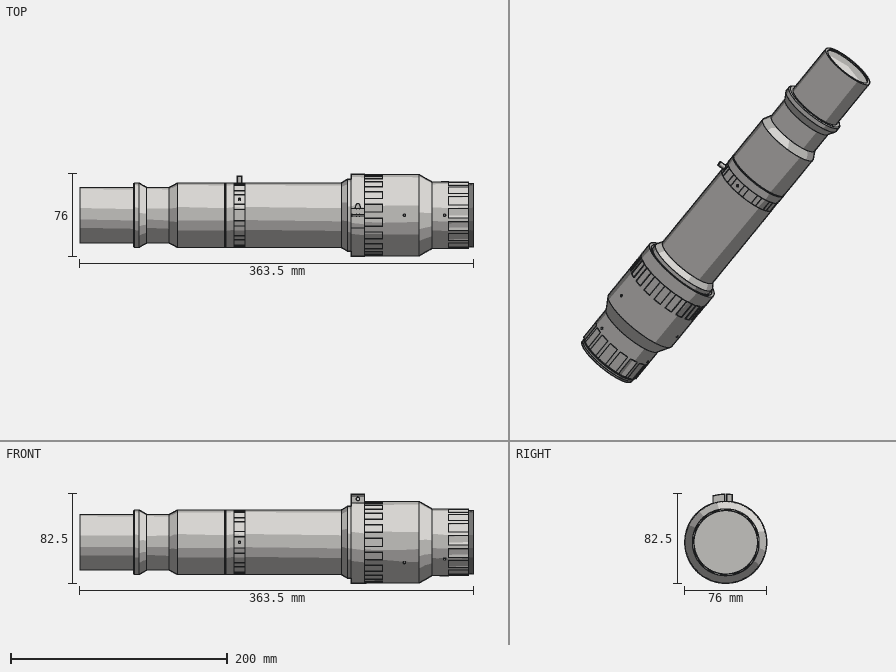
import cadquery as cq
import math

CUTTER_OVERSHOOT = 3.5

LENGTH = 363.5
FRONT_RADIUS = 25.8
TUBE_RADIUS = 29.8
COLLAR_RADIUS = 33.5
HOUSING_RADIUS = 37.8
RING_STEP = 0.18
RING_RADIUS = HOUSING_RADIUS + RING_STEP
NECK_RADIUS = 31.0
END_RADIUS = 29.5

FLANGE_START = 49.5
FLANGE_FLAT_END = 55.0
FLANGE_END = 61.8
FLANGE_ROUND = 1.0
TUBE_CONE_START = 82.5
TUBE_CONE_END = 90.0
COLLAR_CONE_START = 241.5
COLLAR_CONE_END = 247.0
RING_START = 250.5
RING_BORE_RADIUS = 35.3
RING_BORE_RECESS = 0.7
RING_END = 262.8
HOUSING_CONE_START = 313.0
HOUSING_CONE_END = 325.0
GRIP_START = 340.2
GRIP_END = 358.7

RIM_GROOVE_START = 359.8
RIM_GROOVE_END = 361.5
RIM_GROOVE_DEPTH = 0.18

LENS_RADIUS = 23.3
LENS_RECESS = 1.0

TUBE_GROOVE_START = 133.7
TUBE_GROOVE_WIDTH = 1.0
TUBE_GROOVE_DEPTH = 0.5

BAND_START = 142.5
BAND_END = 152.3
BAND_MIDDLE = (BAND_START + BAND_END) / 2
BAND_SLOT_COUNT = 12
BAND_SLOT_ANGLE = 10.0
BAND_DEPTH = 0.18
BAND_SLOT_DEPTH = 0.55
PIN_RADIUS = 2.0
PIN_ROOT = 25.5
PIN_TIP = 36.0

HOUSING_SLOT_COUNT = 18
HOUSING_SLOT_ANGLE = 11.4
HOUSING_SLOT_DEPTH = 0.7
HOUSING_SLOT_END = 279.0

FLUTE_COUNT = 16
FLUTE_PITCH = 360 / FLUTE_COUNT
FLUTE_ANGLE = 16.2
FLUTE_DEPTH = 1.0
FLUTE_FIRST_ANGLE = 90 + FLUTE_PITCH / 3

SCREW_RADIUS = 1.0
SCREW_DEPTH = 3.0
SCREW_COUNT = 3
SCREW_PITCH = 360 / SCREW_COUNT
HOUSING_SCREW_X = 299.5
NECK_SCREW_X = 336.5

LUG_RADIUS = 44.52
LUG_LEFT = 6.0
LUG_RIGHT = -12.0
LUG_SLIT_WIDTH = 1.5
CLAMP_HOLE_X = (RING_START + RING_END) / 2
CLAMP_HOLE_Z = 40.0
CLAMP_HOLE_RADIUS = 1.5
CLAMP_RELIEF_RADIUS = 3.5
CLAMP_RELIEF_LENGTH = 14.5


def polar(radius, angle):
    """Y, Z of a point at an angle measured from +Y towards +Z."""
    return radius * math.cos(math.radians(angle)), radius * math.sin(math.radians(angle))


def x_cylinder(radius, start, end):
    return cq.Workplane("YZ", origin=(start, 0, 0)).circle(radius).extrude(end - start)


def annular_slot(start, end, outer_radius, depth, angle, width_angle):
    """Sector-shaped cutter with a floor concentric with the barrel."""
    reach = outer_radius + CUTTER_OVERSHOOT
    wedge = (
        cq.Workplane("YZ", origin=(start, 0, 0))
        .moveTo(0, 0)
        .lineTo(*polar(reach, angle - width_angle / 2))
        .threePointArc(polar(reach, angle), polar(reach, angle + width_angle / 2))
        .close()
        .extrude(end - start)
    )
    return wedge.cut(x_cylinder(outer_radius - depth, start, end))


def radial_rod(x, angle, inner, outer, radius):
    """Rod along a radius of the barrel, from the inner to the outer distance."""
    rod = cq.Workplane("XZ", origin=(x, inner, 0)).circle(radius).extrude(inner - outer)
    return rod.rotate((0, 0, 0), (1, 0, 0), angle)


def make_barrel():
    return (
        cq.Workplane("XZ")
        .moveTo(LENS_RECESS, 0)
        .lineTo(LENS_RECESS, LENS_RADIUS)
        .lineTo(0, LENS_RADIUS)
        .lineTo(0, FRONT_RADIUS)
        .lineTo(FLANGE_START, FRONT_RADIUS)
        .lineTo(FLANGE_START, TUBE_RADIUS - FLANGE_ROUND)
        .lineTo(FLANGE_START + FLANGE_ROUND, TUBE_RADIUS)
        .lineTo(FLANGE_FLAT_END, TUBE_RADIUS)
        .lineTo(FLANGE_END, FRONT_RADIUS)
        .lineTo(TUBE_CONE_START, FRONT_RADIUS)
        .lineTo(TUBE_CONE_END, TUBE_RADIUS)
        .lineTo(TUBE_GROOVE_START, TUBE_RADIUS)
        .lineTo(TUBE_GROOVE_START + TUBE_GROOVE_WIDTH / 2, TUBE_RADIUS - TUBE_GROOVE_DEPTH)
        .lineTo(TUBE_GROOVE_START + TUBE_GROOVE_WIDTH, TUBE_RADIUS)
        .lineTo(BAND_START, TUBE_RADIUS)
        .lineTo(BAND_START, TUBE_RADIUS - BAND_DEPTH)
        .lineTo(BAND_END, TUBE_RADIUS - BAND_DEPTH)
        .lineTo(BAND_END, TUBE_RADIUS)
        .lineTo(COLLAR_CONE_START, TUBE_RADIUS)
        .lineTo(COLLAR_CONE_END, COLLAR_RADIUS)
        .lineTo(RING_START + RING_BORE_RECESS, COLLAR_RADIUS)
        .lineTo(RING_START + RING_BORE_RECESS, RING_BORE_RADIUS)
        .lineTo(RING_START, RING_BORE_RADIUS)
        .lineTo(RING_START, RING_RADIUS)
        .lineTo(RING_END, RING_RADIUS)
        .lineTo(RING_END, HOUSING_RADIUS)
        .lineTo(HOUSING_CONE_START, HOUSING_RADIUS)
        .lineTo(HOUSING_CONE_END, NECK_RADIUS)
        .lineTo(GRIP_END, NECK_RADIUS)
        .lineTo(GRIP_END, END_RADIUS)
        .lineTo(RIM_GROOVE_START, END_RADIUS)
        .lineTo(RIM_GROOVE_START, END_RADIUS - RIM_GROOVE_DEPTH)
        .lineTo(RIM_GROOVE_END, END_RADIUS - RIM_GROOVE_DEPTH)
        .lineTo(RIM_GROOVE_END, END_RADIUS)
        .lineTo(LENGTH, END_RADIUS)
        .lineTo(LENGTH, 0)
        .close()
        .revolve(360, (0, 0, 0), (1, 0, 0))
    )


def make_lens_dome():
    dome_radius = (LENS_RADIUS**2 + LENS_RECESS**2) / (2 * LENS_RECESS)
    return (
        cq.Workplane("XZ")
        .moveTo(LENS_RECESS, 0)
        .lineTo(0, 0)
        .radiusArc((LENS_RECESS, LENS_RADIUS), dome_radius)
        .close()
        .revolve(360, (0, 0, 0), (1, 0, 0))
    )


def make_lug():
    """Block on the clamp ring with a top face concentric with the barrel."""
    return (
        cq.Workplane("YZ", origin=(RING_START, 0, 0))
        .moveTo(LUG_LEFT, RING_BORE_RADIUS)
        .lineTo(LUG_LEFT, math.sqrt(LUG_RADIUS**2 - LUG_LEFT**2))
        .threePointArc((0, LUG_RADIUS), (LUG_RIGHT, math.sqrt(LUG_RADIUS**2 - LUG_RIGHT**2)))
        .lineTo(LUG_RIGHT, RING_BORE_RADIUS)
        .close()
        .extrude(RING_END - RING_START)
    )


def cut_clamp(body):
    """Lug slit, through hole for the clamp screw and head clearance in the ring."""
    slit = (
        cq.Workplane("XY", origin=((RING_START + RING_END) / 2, 0, RING_BORE_RADIUS))
        .rect(RING_END - RING_START, LUG_SLIT_WIDTH)
        .extrude(LUG_RADIUS - RING_BORE_RADIUS)
    )
    hole = (
        cq.Workplane("XZ", origin=(CLAMP_HOLE_X, LUG_LEFT, CLAMP_HOLE_Z))
        .circle(CLAMP_HOLE_RADIUS)
        .extrude(LUG_LEFT - LUG_RIGHT)
    )
    relief = (
        cq.Workplane("XZ", origin=(CLAMP_HOLE_X, LUG_LEFT, CLAMP_HOLE_Z))
        .circle(CLAMP_RELIEF_RADIUS)
        .extrude(-CLAMP_RELIEF_LENGTH)
    )
    return body.cut(slit).cut(hole).cut(relief)


def cut_slots(body):
    for i in range(BAND_SLOT_COUNT):
        angle = (i + 0.5) * 360 / BAND_SLOT_COUNT
        body = body.cut(
            annular_slot(BAND_START, BAND_END, TUBE_RADIUS, BAND_SLOT_DEPTH, angle, BAND_SLOT_ANGLE)
        )
    for i in range(HOUSING_SLOT_COUNT):
        angle = 180 + i * 360 / HOUSING_SLOT_COUNT
        body = body.cut(
            annular_slot(
                RING_END, HOUSING_SLOT_END, HOUSING_RADIUS, HOUSING_SLOT_DEPTH, angle, HOUSING_SLOT_ANGLE
            )
        )
    return body


def cut_flutes(body):
    half_width = NECK_RADIUS * math.sin(math.radians(FLUTE_ANGLE / 2))
    edge_distance = NECK_RADIUS * math.cos(math.radians(FLUTE_ANGLE / 2))
    sag = edge_distance - (NECK_RADIUS - FLUTE_DEPTH)
    flute_radius = (half_width**2 + sag**2) / (2 * sag)
    axis_distance = NECK_RADIUS - FLUTE_DEPTH + flute_radius
    for i in range(FLUTE_COUNT):
        angle = FLUTE_FIRST_ANGLE + (i + 0.5) * FLUTE_PITCH
        cutter = x_cylinder(flute_radius, GRIP_START, GRIP_END)
        body = body.cut(cutter.translate((0, *polar(axis_distance, angle))))
    return body


def cut_screw_holes(body):
    stations = (
        (BAND_MIDDLE, TUBE_RADIUS, 180),
        (HOUSING_SCREW_X, HOUSING_RADIUS, 90),
        (NECK_SCREW_X, NECK_RADIUS, 90),
    )
    for x, surface_radius, first_angle in stations:
        for i in range(SCREW_COUNT):
            angle = first_angle + i * SCREW_PITCH
            floor = surface_radius - SCREW_DEPTH
            outside = surface_radius + CUTTER_OVERSHOOT
            body = body.cut(radial_rod(x, angle, floor, outside, SCREW_RADIUS))
    return body


result = make_barrel().union(make_lens_dome()).union(make_lug())
result = cut_clamp(result)
result = cut_slots(result)
result = cut_flutes(result)
result = cut_screw_holes(result)
result = result.union(radial_rod(BAND_MIDDLE, 0, PIN_ROOT, PIN_TIP, PIN_RADIUS))